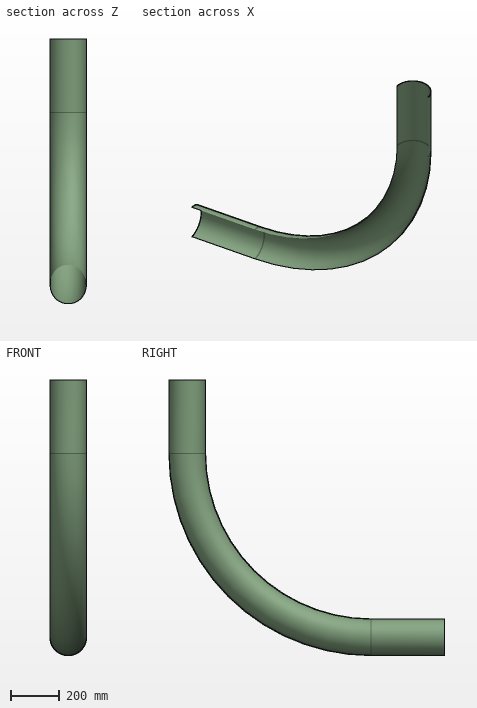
import cadquery as cq

outer_diameter = 152.4
inner_diameter = 149.2
bend_radius = 762.0
straight_length = 304.8
bend_angle = 90.0


def ring(workplane):
    """Pipe cross-section centred on the workplane origin."""
    return workplane.circle(outer_diameter / 2).circle(inner_diameter / 2)


vertical_leg = ring(cq.Workplane("XY")).extrude(straight_length)

bend = ring(cq.Workplane("XY")).revolve(
    bend_angle,
    (0, bend_radius, 0),
    (1, bend_radius, 0),
)

horizontal_start = cq.Workplane("XZ", origin=(0, bend_radius, -bend_radius))
horizontal_leg = ring(horizontal_start).extrude(-straight_length)

result = vertical_leg.union(bend).union(horizontal_leg)